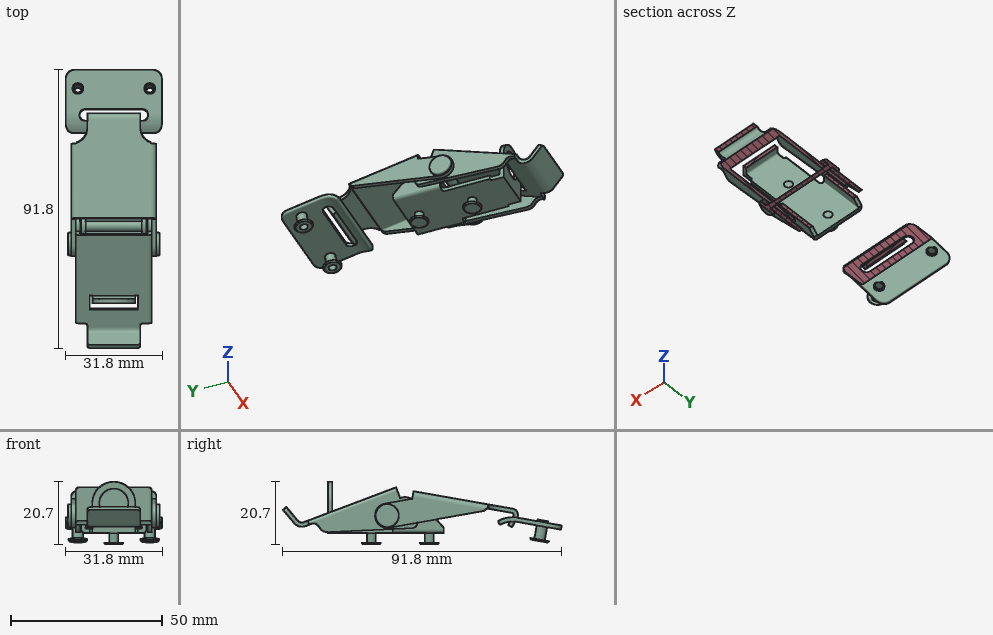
import cadquery as cq
import math


SHEET = 1.5

BASE_HALF_WIDTH = 10.7
BASE_REAR_Y = 12.8
BASE_BEND = 1.3
BASE_INNER_BEND = 0.4
EAR_RADIUS = 4.0
EAR_STEP_Z = 1.8
EAR_SLOPE_RUN = 2.75
EAR_SLOPE_RISE = 3.0
HINGE_Z = 7.9
HINGE_DIAMETER = 3.4
TONGUE_HALF_WIDTH = 7.9
TONGUE_STEP_Y = -20.75
TONGUE_CORNER = 0.7
HASP_INNER_BEND = 0.6
HASP_FRONT_Y = -25.4
HASP_RADIUS = 7.1
HASP_HOLE_Z = 9.9
HASP_HOLE_DIAMETER = 9.55

RIVET_FLANGE_DIAMETER = 6.3
RIVET_TIP_DIAMETER = 5.5
RIVET_FLANGE_HEIGHT = 0.55
BASE_RIVET_DIAMETER = 3.0
BASE_RIVET_YS = (8.0, -11.1)
BASE_RIVET_DROP = 3.7
KEEPER_RIVET_DIAMETER = 3.6
KEEPER_RIVET_BORE = 2.7
KEEPER_RIVET_X = 11.8
KEEPER_RIVET_OFFSET = 8.35
KEEPER_RIVET_DROP = 5.0
KEEPER_RIVET_RISE = 0.55

LEVER_ANGLE = 20.7
LEVER_HALF_WIDTH = 12.6
LEVER_BEND = 1.2
LEVER_TOP_Y, LEVER_TOP_Z = -2.9, 15.15
LEVER_LENGTH = 31.1
LEVER_WALL_REAR_Z = 1.7
LEVER_WALL_CORNER = 1.8
LEVER_WALL_FRONT_Y, LEVER_WALL_FRONT_Z = -27.1, 0.3
LEVER_WALL_END_Y = -29.5
LEVER_WALL_FRONT_FILLET = 2.75
LEVER_WALL_END_FILLET = 1.8
SLOT_START, SLOT_END = 21.3, 26.3
SLOT_HALF_WIDTH = 7.9
GRIP_HALF_WIDTH = 8.7
GRIP_BEND_START = 32.5
GRIP_BEND_RADIUS = 1.8
GRIP_RISE_ANGLE = 50.0
GRIP_LENGTH = 5.8
GRIP_CORNER = 1.1
GRIP_ROOT_FILLET = 0.9

BAIL_ANGLE = 10.0
BAIL_HALF_WIDTH = 14.0
BAIL_BEND = 1.8
BAIL_INNER_BEND = 0.5
BAIL_FRONT_Y, BAIL_FRONT_Z = 2.75, 13.9
BAIL_LENGTH = 25.0
BAIL_REAR_DEPTH = 1.4
BAIL_CORNER_RUN = 1.2
ARM_RADIUS = 4.0
LIP_HALF_WIDTH = 8.7
LIP_LENGTH = 8.3
HOOK_RADIUS = 2.1
HOOK_TURN = 110.0
HOOK_LENGTH = 3.5

PIN_Y, PIN_Z = -5.9, 5.8
PIN_DIAMETER = 3.3
PIN_HEAD_DIAMETER = 7.6
PIN_HEAD_HEIGHT = 1.1
PIN_HEAD_FILLET = 0.55

KEEPER_ANGLE = 10.0
KEEPER_HALF_WIDTH = 15.9
KEEPER_BEND_Y, KEEPER_BEND_Z = 37.1, 5.1
KEEPER_LENGTH = 14.8
KEEPER_CURL_RADIUS = 9.7
KEEPER_CURL_TURN = 40.0
KEEPER_CORNER = 3.1
KEEPER_EDGE = 0.4
KEEPER_SLOT_HALF_LENGTH = 11.3
KEEPER_SLOT_WIDTH = 3.9
KEEPER_SLOT_OFFSET = -0.4


def heading(angle):
    """Unit vector in the YZ plane, at an angle in degrees from +Y towards +Z."""
    return math.cos(math.radians(angle)), math.sin(math.radians(angle))


def step(point, angle, distance):
    """Point reached from another one by going a distance along a heading."""
    along = heading(angle)
    return point[0] + distance * along[0], point[1] + distance * along[1]


def meet(first, first_angle, second, second_angle):
    """Crossing point of two lines, each given by a point and a heading."""
    a, b = heading(first_angle), heading(second_angle)
    gap = second[0] - first[0], second[1] - first[1]
    distance = (gap[0] * b[1] - gap[1] * b[0]) / (a[0] * b[1] - a[1] * b[0])
    return step(first, first_angle, distance)


def side_plate(outline, half_width):
    """Solid with a closed side outline, centred across the latch."""
    return outline.close().extrude(half_width, both=True)


def side_polygon(points, half_width):
    return side_plate(cq.Workplane("YZ").polyline(points), half_width)


def cross_rod(y, z, diameter, half_length):
    return cq.Workplane("YZ", origin=(-half_length, y, z)).circle(diameter / 2).extrude(2 * half_length)


def bent_strip(start, angle, length, radius, turn, tail, half_width):
    """Strip of sheet that runs flat, bends and runs flat again over the length `tail`.

    `start`, `angle`, `length` and `radius` belong to the face on the outside of the bend.
    The bend is to the left for a positive `turn` and to the right for a negative one.
    """
    side = math.copysign(90, turn)
    bend_start = step(start, angle, length)
    centre = step(bend_start, angle + side, radius)
    inner = radius - SHEET
    final = angle + turn
    outer_end = step(centre, final - side, radius)
    inner_end = step(centre, final - side, inner)
    middle = angle + turn / 2 - side
    outline = (
        cq.Workplane("YZ").moveTo(*start).lineTo(*bend_start)
        .threePointArc(step(centre, middle, radius), outer_end)
    )
    if tail:
        outline = outline.lineTo(*step(outer_end, final, tail)).lineTo(*step(inner_end, final, tail))
    outline = (
        outline.lineTo(*inner_end)
        .threePointArc(step(centre, middle, inner), step(centre, angle - side, inner))
        .lineTo(*step(start, angle + side, SHEET))
    )
    return side_plate(outline, half_width)


def make_base():
    hinge = (0, HINGE_Z)
    slope_top = (BASE_REAR_Y - EAR_SLOPE_RUN, EAR_STEP_Z + EAR_SLOPE_RISE)
    reach = math.dist(slope_top, hinge)
    bearing = math.degrees(math.atan2(slope_top[1] - hinge[1], slope_top[0] - hinge[0]))
    tangent_angle = bearing + math.degrees(math.acos(EAR_RADIUS / reach))
    ear_outline = (
        cq.Workplane("YZ").moveTo(-EAR_RADIUS, 0).lineTo(BASE_REAR_Y, 0)
        .lineTo(BASE_REAR_Y, EAR_STEP_Z).lineTo(*slope_top)
        .lineTo(*step(hinge, tangent_angle, EAR_RADIUS))
        .threePointArc(step(hinge, (tangent_angle + 180) / 2, EAR_RADIUS), (-EAR_RADIUS, HINGE_Z))
    )
    inside = (
        cq.Workplane("XY").box(2 * (BASE_HALF_WIDTH - SHEET), 4 * BASE_REAR_Y, 2 * HINGE_Z,
                               centered=(True, True, False))
        .edges("|Y and <Z").fillet(BASE_INNER_BEND).translate((0, 0, SHEET))
    )
    channel = side_plate(ear_outline, BASE_HALF_WIDTH).edges("|Y and <Z").fillet(BASE_BEND).cut(inside)

    base = channel
    for half_width, rear_y, front_y in (
        (TONGUE_HALF_WIDTH, -EAR_RADIUS, TONGUE_STEP_Y),
        (HASP_RADIUS, TONGUE_STEP_Y, HASP_FRONT_Y),
    ):
        strip = cq.Workplane("XY").box(2 * half_width, rear_y - front_y, SHEET, centered=(True, False, False))
        base = base.union(strip.translate((0, front_y, 0)))
        for side in (-1, 1):
            corner = cq.selectors.NearestToPointSelector((side * half_width, rear_y, SHEET / 2))
            base = base.edges("|Z").edges(corner).fillet(TONGUE_CORNER)

    hasp = (
        cq.Workplane("XZ", origin=(0, HASP_FRONT_Y, 0))
        .moveTo(-HASP_RADIUS, 0).lineTo(HASP_RADIUS, 0).lineTo(HASP_RADIUS, HASP_HOLE_Z)
        .threePointArc((0, HASP_HOLE_Z + HASP_RADIUS), (-HASP_RADIUS, HASP_HOLE_Z)).close()
        .moveTo(0, HASP_HOLE_Z).circle(HASP_HOLE_DIAMETER / 2)
        .extrude(-SHEET)
    )
    base = base.union(hasp)
    hasp_root = cq.selectors.NearestToPointSelector((0, HASP_FRONT_Y + SHEET, SHEET))
    base = base.edges("|X").edges(hasp_root).fillet(HASP_INNER_BEND)
    for y in BASE_RIVET_YS:
        base = base.cut(cq.Workplane("XY").center(0, y).circle(BASE_RIVET_DIAMETER / 2).extrude(SHEET))
    return base.cut(cross_rod(*hinge, HINGE_DIAMETER, BASE_HALF_WIDTH))


def make_rivet(shank_diameter, top, drop):
    """Upright rivet with its shank top at z = top and a flared flange that ends at z = -drop."""
    shank = cq.Workplane("XY").workplane(offset=-drop).circle(shank_diameter / 2).extrude(top + drop)
    flange = (
        cq.Workplane("XY").workplane(offset=-drop).circle(RIVET_TIP_DIAMETER / 2)
        .workplane(offset=RIVET_FLANGE_HEIGHT).circle(RIVET_FLANGE_DIAMETER / 2).loft()
    )
    return shank.union(flange)


def bent_grip(end, down):
    """Finger grip: goes on from the lever plate and bends upwards."""
    under_end = step(end, down + 90, SHEET)
    turn = -(LEVER_ANGLE + GRIP_RISE_ANGLE)
    grip = bent_strip(under_end, down, GRIP_BEND_START - LEVER_LENGTH, GRIP_BEND_RADIUS + SHEET, turn,
                      GRIP_LENGTH, GRIP_HALF_WIDTH)
    return grip.faces("<Y").edges("not |X").fillet(GRIP_CORNER)


def make_lever():
    top = (LEVER_TOP_Y, LEVER_TOP_Z)
    down = 180 + LEVER_ANGLE
    into = down + 90
    end = step(top, down, LEVER_LENGTH)
    end_under = step(end, into, SHEET)
    hinge = (0, HINGE_Z)
    wall_end = meet(end_under, down, (LEVER_WALL_END_Y, 0), 90)
    wall_front = (LEVER_WALL_FRONT_Y, LEVER_WALL_FRONT_Z)
    wall_rear = (EAR_RADIUS, LEVER_WALL_REAR_Z)
    body = side_polygon(
        [top, end, end_under, wall_end, wall_front, wall_rear, (EAR_RADIUS, HINGE_Z), hinge,
         meet(top, into, hinge, down)], LEVER_HALF_WIDTH)
    for corner, radius in (
        (wall_end, LEVER_WALL_END_FILLET),
        (wall_front, LEVER_WALL_FRONT_FILLET),
        (wall_rear, LEVER_WALL_CORNER),
    ):
        body = body.edges("|X").edges(cq.selectors.NearestToPointSelector((0, *corner))).fillet(radius)
    body = body.union(cross_rod(*hinge, 2 * EAR_RADIUS, LEVER_HALF_WIDTH))
    middle = step(top, down, LEVER_LENGTH / 2)
    for side in (-1, 1):
        ridge = cq.selectors.NearestToPointSelector((side * LEVER_HALF_WIDTH, *middle))
        body = body.edges(ridge).fillet(LEVER_BEND)

    under_top = step(top, into, SHEET)
    far_up, far_down = step(under_top, down, -LEVER_LENGTH), step(under_top, down, 2 * LEVER_LENGTH)
    depth = LEVER_LENGTH
    inside = side_polygon(
        [far_up, far_down, step(far_down, into, depth), step(far_up, into, depth)], LEVER_HALF_WIDTH - SHEET)
    lever = body.cut(inside)

    lever = lever.union(bent_grip(end, down))
    for side in (-1, 1):
        root = cq.selectors.NearestToPointSelector((side * GRIP_HALF_WIDTH, *step(end, into, SHEET / 2)))
        lever = lever.edges(root).fillet(GRIP_ROOT_FILLET)

    slot_start, slot_end = step(top, down, SLOT_START), step(top, down, SLOT_END)
    slot = side_polygon(
        [step(slot_start, into, -SHEET), step(slot_end, into, -SHEET),
         step(slot_end, into, 2 * SHEET), step(slot_start, into, 2 * SHEET)], SLOT_HALF_WIDTH)
    lever = lever.cut(slot)
    lever = lever.cut(cross_rod(*hinge, HINGE_DIAMETER, LEVER_HALF_WIDTH))
    return lever.cut(cross_rod(PIN_Y, PIN_Z, PIN_DIAMETER, LEVER_HALF_WIDTH))


def make_bail():
    front = (BAIL_FRONT_Y, BAIL_FRONT_Z)
    pin = (PIN_Y, PIN_Z)
    back = -BAIL_ANGLE
    into = back - 90
    arm = BAIL_ANGLE
    rear = step(front, back, BAIL_LENGTH)
    rear_low = step(rear, into, BAIL_REAR_DEPTH)
    arm_top = step(pin, arm + 90, ARM_RADIUS)
    arm_bottom = step(pin, arm - 90, ARM_RADIUS)
    corner = meet((rear_low[0] - BAIL_CORNER_RUN, 0), 90, arm_bottom, arm)
    outline = (
        cq.Workplane("YZ").moveTo(*front).lineTo(*rear).lineTo(*rear_low).lineTo(*corner)
        .lineTo(*arm_bottom).threePointArc(step(pin, arm + 180, ARM_RADIUS), arm_top)
        .lineTo(*meet(front, into, arm_top, arm))
    )
    body = side_plate(outline, BAIL_HALF_WIDTH)
    middle = step(front, back, BAIL_LENGTH / 2)
    for side in (-1, 1):
        ridge = cq.selectors.NearestToPointSelector((side * BAIL_HALF_WIDTH, *middle))
        body = body.edges(ridge).fillet(BAIL_BEND)

    under_front = step(front, into, SHEET)
    far_front, far_rear = step(under_front, back, -BAIL_LENGTH), step(under_front, back, 2 * BAIL_LENGTH)
    inside = side_polygon(
        [far_front, far_rear, step(far_rear, into, BAIL_LENGTH), step(far_front, into, BAIL_LENGTH)],
        BAIL_HALF_WIDTH - SHEET)
    under_middle = step(middle, into, SHEET)
    for side in (-1, 1):
        ridge = cq.selectors.NearestToPointSelector((side * (BAIL_HALF_WIDTH - SHEET), *under_middle))
        inside = inside.edges(ridge).fillet(BAIL_INNER_BEND)

    lip = bent_strip(rear, back, LIP_LENGTH, HOOK_RADIUS, -HOOK_TURN, HOOK_LENGTH, LIP_HALF_WIDTH)
    bail = body.cut(inside).union(lip)

    rear_plane = cq.Plane(origin=(0, *rear), xDir=(1, 0, 0), normal=(0, *heading(into)))
    root_radius = BAIL_HALF_WIDTH - LIP_HALF_WIDTH
    flat_edge = BAIL_HALF_WIDTH - BAIL_BEND
    round_start = math.sqrt(root_radius**2 - BAIL_BEND**2) - root_radius
    round_middle = root_radius * (1 - math.sqrt(0.5))
    root = (
        cq.Workplane(rear_plane).moveTo(LIP_HALF_WIDTH, 0).lineTo(flat_edge, 0).lineTo(flat_edge, round_start)
        .threePointArc((LIP_HALF_WIDTH + round_middle, -round_middle), (LIP_HALF_WIDTH, -root_radius))
        .close().extrude(SHEET)
    )
    bail = bail.union(root).union(root.mirror("YZ"))
    return bail.cut(cross_rod(*pin, PIN_DIAMETER, BAIL_HALF_WIDTH))


def make_bail_pin():
    pin = cross_rod(PIN_Y, PIN_Z, PIN_DIAMETER, BAIL_HALF_WIDTH)
    for side in (-1, 1):
        head = (
            cq.Workplane("YZ", origin=(side * BAIL_HALF_WIDTH, PIN_Y, PIN_Z))
            .circle(PIN_HEAD_DIAMETER / 2).extrude(side * PIN_HEAD_HEIGHT)
        )
        outer_face = head.faces(">X" if side > 0 else "<X")
        pin = pin.union(outer_face.edges().fillet(PIN_HEAD_FILLET))
    return pin


def place_on_keeper(body):
    """Move a body from the level frame, whose origin is on the bend line, to the tilted keeper."""
    return body.rotate((0, 0, 0), (1, 0, 0), -KEEPER_ANGLE).translate((0, KEEPER_BEND_Y, KEEPER_BEND_Z))


def make_keeper():
    plate = bent_strip((KEEPER_LENGTH, 0), 180, KEEPER_LENGTH, KEEPER_CURL_RADIUS, KEEPER_CURL_TURN, 0,
                       KEEPER_HALF_WIDTH)
    curl_reach = KEEPER_CURL_RADIUS * math.sin(math.radians(KEEPER_CURL_TURN))
    depth = KEEPER_CURL_RADIUS
    blank = (
        cq.Workplane("XY")
        .box(2 * KEEPER_HALF_WIDTH, KEEPER_LENGTH + curl_reach, 2 * depth, centered=(True, False, True))
        .edges("|Z").fillet(KEEPER_CORNER).translate((0, -curl_reach, 0))
    )
    plate = plate.intersect(blank)
    broad_faces = [face for face in plate.faces().vals() if abs(face.normalAt().z) > 0.5]
    rim = [edge for face in broad_faces for edge in face.Edges() if edge.Center().Length > SHEET + KEEPER_EDGE]
    plate = plate.newObject(rim).fillet(KEEPER_EDGE)
    slot = (
        cq.Workplane("XY").center(0, KEEPER_SLOT_OFFSET)
        .slot2D(2 * KEEPER_SLOT_HALF_LENGTH, KEEPER_SLOT_WIDTH).extrude(depth, both=True)
    )
    plate = plate.cut(slot)
    for x in (-KEEPER_RIVET_X, KEEPER_RIVET_X):
        hole = (
            cq.Workplane("XY").center(x, KEEPER_RIVET_OFFSET)
            .circle(KEEPER_RIVET_DIAMETER / 2).extrude(SHEET, both=True)
        )
        plate = plate.cut(hole)
    return place_on_keeper(plate)


def make_keeper_rivet(x):
    rivet = make_rivet(KEEPER_RIVET_DIAMETER, SHEET + KEEPER_RIVET_RISE, KEEPER_RIVET_DROP)
    rivet = rivet.faces(">Z").workplane().hole(KEEPER_RIVET_BORE)
    return place_on_keeper(rivet.translate((x, KEEPER_RIVET_OFFSET, -SHEET)))


base = make_base()
lever = make_lever()
bail = make_bail()
keeper = make_keeper()
hinge_pin = cross_rod(0, HINGE_Z, HINGE_DIAMETER, LEVER_HALF_WIDTH)
bail_pin = make_bail_pin()
base_rivets = [make_rivet(BASE_RIVET_DIAMETER, SHEET, BASE_RIVET_DROP).translate((0, y, 0))
               for y in BASE_RIVET_YS]
keeper_rivets = [make_keeper_rivet(x) for x in (-KEEPER_RIVET_X, KEEPER_RIVET_X)]

result = cq.Compound.makeCompound([
    base.val(),
    lever.val(),
    bail.val(),
    keeper.val(),
    hinge_pin.val(),
    bail_pin.val(),
    *[rivet.val() for rivet in base_rivets],
    *[rivet.val() for rivet in keeper_rivets],
])